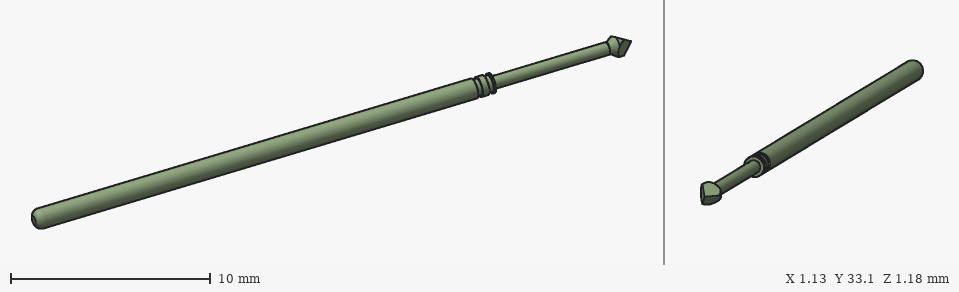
import cadquery as cq
import math

total_length = 33.1

barrel_radius = 0.53
barrel_length = 24.38
tail_round_length = 0.45
tail_flat_radius = 0.25
tail_bulge = 0.07

groove_radius = 0.44
groove_width = 0.26
rear_ring_width = 0.36
front_ring_width = 0.1

stem_radius = 0.335

head_radius = 0.595
head_face_distance = 0.475
point_length = 0.87
neck_radius = 0.28
neck_length = 0.45
face_count = 3
first_ridge_angle = 180.0


def make_barrel():
    """Cylinder with a rounded tail that ends in a small flat."""
    mid_radius = (tail_flat_radius + barrel_radius) / 2 + tail_bulge
    mid_y = tail_round_length / 2 - tail_bulge
    return (
        cq.Workplane("XY")
        .moveTo(0, 0)
        .lineTo(tail_flat_radius, 0)
        .threePointArc((mid_radius, mid_y), (barrel_radius, tail_round_length))
        .lineTo(barrel_radius, barrel_length)
        .lineTo(0, barrel_length)
        .close()
        .revolve(360, (0, 0, 0), (0, 1, 0))
    )


def cylinder_along_y(radius, start_y, length):
    """Solid cylinder on the Y axis, running from start_y towards +Y."""
    return cq.Workplane("XZ", origin=(0, start_y, 0)).circle(radius).extrude(-length)


def make_collar():
    """Core cylinder carrying the two rings."""
    rear_ring_y = barrel_length + groove_width
    front_ring_y = rear_ring_y + rear_ring_width + groove_width
    collar_length = front_ring_y + front_ring_width - barrel_length
    core = cylinder_along_y(groove_radius, barrel_length, collar_length)
    rear_ring = cylinder_along_y(barrel_radius, rear_ring_y, rear_ring_width)
    front_ring = cylinder_along_y(barrel_radius, front_ring_y, front_ring_width)
    return core.union(rear_ring).union(front_ring)


def make_stem():
    """Slim plunger rod reaching from the barrel to the neck."""
    neck_y = total_length - point_length - neck_length
    return cylinder_along_y(stem_radius, barrel_length, neck_y - barrel_length)


def make_head():
    """Cone and cylinder behind the tip, trimmed by a three-sided pyramid."""
    back_y = total_length - point_length
    neck_y = back_y - neck_length
    blank = (
        cq.Workplane("XY")
        .moveTo(0, neck_y)
        .lineTo(neck_radius, neck_y)
        .lineTo(head_radius, back_y)
        .lineTo(head_radius, total_length)
        .lineTo(0, total_length)
        .close()
        .revolve(360, (0, 0, 0), (0, 1, 0))
    )
    pyramid_length = point_length + neck_length
    base_face_distance = head_face_distance * pyramid_length / point_length
    ridge_radius = base_face_distance / math.cos(math.pi / face_count)
    corners = []
    for index in range(face_count):
        angle = math.radians(first_ridge_angle + index * 360.0 / face_count)
        x = ridge_radius * math.cos(angle)
        z = ridge_radius * math.sin(angle)
        corners.append(cq.Vector(x, neck_y, z))
    tip = cq.Vector(0, total_length, 0)
    faces = [cq.Face.makeFromWires(cq.Wire.makePolygon(corners, close=True))]
    for index in range(face_count):
        side = [corners[index], corners[(index + 1) % face_count], tip]
        faces.append(cq.Face.makeFromWires(cq.Wire.makePolygon(side, close=True)))
    pyramid = cq.Solid.makeSolid(cq.Shell.makeShell(faces))
    return blank.intersect(cq.Workplane(pyramid))


result = make_barrel().union(make_collar()).union(make_stem()).union(make_head())